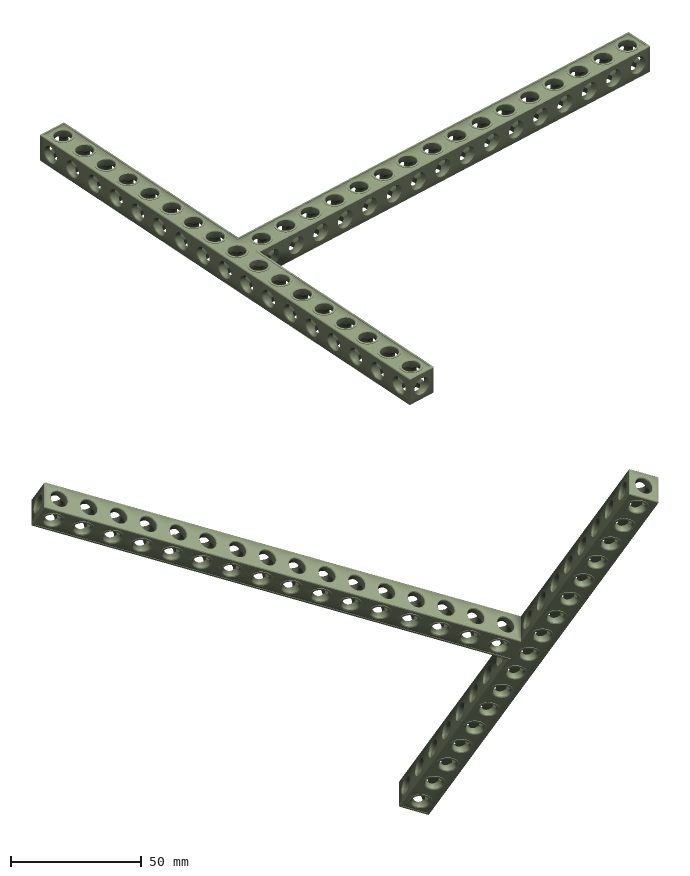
import cadquery as cq
LENGTH = 212.5
HOLE_COUNT = 17
BORE_DIAMETER = 7.0
COLLAR_DIAMETER = 9.1
EDGE_CHAMFER = 0.3
RIM_WIDTH = 1.0
PANEL_DEPTH = 0.2

PITCH = LENGTH / HOLE_COUNT
HALF_BAR = PITCH / 2
HALF_LENGTH = LENGTH / 2
BORE_RADIUS = BORE_DIAMETER / 2
CROSSBAR_Y = HALF_BAR - HALF_LENGTH

X_AXIS = (1, 0, 0)
Y_AXIS = (0, 1, 0)
Z_AXIS = (0, 0, 1)

stations = [(i + 0.5) * PITCH - HALF_LENGTH for i in range(HOLE_COUNT)]
crossbar_centres = [(x, CROSSBAR_Y) for x in stations]
stem_centres = [(0, y) for y in stations[1:]]
vertical_centres = crossbar_centres + stem_centres


def bars(inset, height):
    """Crossbar and stem centred on Z = 0, with their sides moved inward by the inset."""
    long_side = LENGTH - 2 * inset
    short_side = PITCH - 2 * inset
    crossbar = cq.Workplane("XY").box(long_side, short_side, height).translate((0, CROSSBAR_Y, 0))
    stem = cq.Workplane("XY").box(short_side, long_side, height)
    return crossbar, stem


def tee_body():
    """Bevelled bars joined into a tee whose two inner corners stay sharp."""
    crossbar, stem = bars(0, PITCH)
    return crossbar.edges().chamfer(EDGE_CHAMFER).union(stem.edges().chamfer(EDGE_CHAMFER)).clean()


def sunken_panels():
    """Shallow recess in the top and bottom faces that spares a collar around each bore."""
    collar_outlines = cq.Workplane("XY").pushPoints(vertical_centres).circle(COLLAR_DIAMETER / 2)
    collars = collar_outlines.extrude(PANEL_DEPTH, both=True)
    crossbar_panel, stem_panel = bars(RIM_WIDTH, PANEL_DEPTH)
    panel = crossbar_panel.union(stem_panel).clean().cut(collars)
    top_panel = panel.translate((0, 0, HALF_BAR - PANEL_DEPTH / 2))
    return top_panel.union(top_panel.mirror("XY"))


def bore_cutter(length, axis):
    """Bore centred on the origin along an axis, flaring at both ends to bevel its mouths."""
    end = length / 2
    mouth_radius = BORE_RADIUS + EDGE_CHAMFER
    cutter = (
        cq.Workplane("XZ")
        .moveTo(0, -end)
        .lineTo(mouth_radius, -end)
        .lineTo(BORE_RADIUS, EDGE_CHAMFER - end)
        .lineTo(BORE_RADIUS, end - EDGE_CHAMFER)
        .lineTo(mouth_radius, end)
        .lineTo(0, end)
        .close()
        .revolve(360, (0, 0, 0), (0, 1, 0))
    )
    if axis == X_AXIS:
        return cutter.rotate((0, 0, 0), Y_AXIS, 90)
    if axis == Y_AXIS:
        return cutter.rotate((0, 0, 0), X_AXIS, 90)
    return cutter


def bores(length, axis, centres):
    """Equal parallel bore cutters at the given XY centres."""
    cutter = bore_cutter(length, axis).val()
    return [cutter.translate(cq.Vector(x, y, 0)) for x, y in centres]


crosswise_centres = [(x, y) for x, y in crossbar_centres if abs(x) > HALF_BAR]

cutters = [
    *bores(PITCH, Z_AXIS, vertical_centres),
    *bores(PITCH, Y_AXIS, crosswise_centres),
    *bores(PITCH, X_AXIS, stem_centres),
    *bores(LENGTH, X_AXIS, [(0, CROSSBAR_Y)]),
    *bores(LENGTH, Y_AXIS, [(0, 0)]),
]

body = tee_body().cut(sunken_panels())
result = cq.Workplane(obj=body.val().cut(*cutters)).solids()